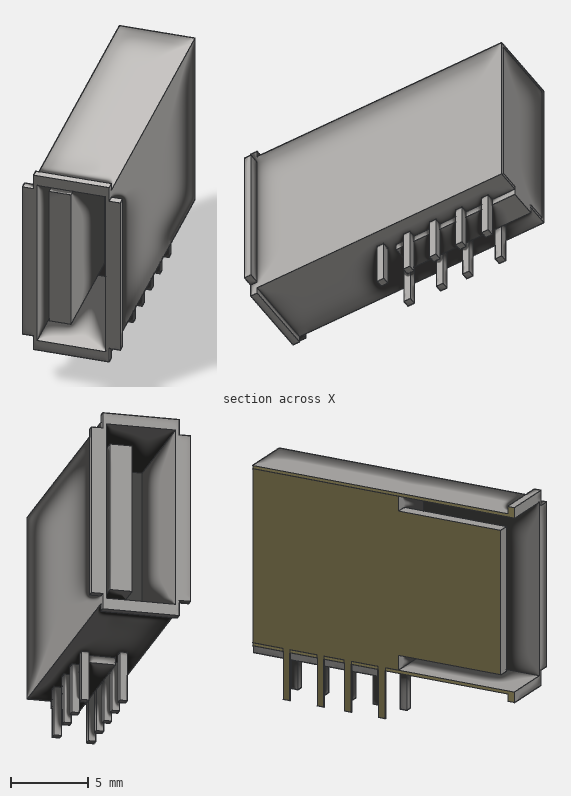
import cadquery as cq

length = 19.25
shell_width = 5.12
shell_height = 12.5
wall = 0.25

lip_thickness = 0.5
lip_height = 0.5
wing_reach = 0.75
wing_height = 11.4

tongue_thickness = 1.48
tongue_height = 10.01
tongue_gap = 0.5
tongue_setback = 1.0
block_margin = 0.5
foot_length = 9.1

pin_size = 0.5
pin_drop = 2.81
row_spacing = 2.43
near_row_rear = 2.48
near_outer_pitch = 2.5
near_middle_pitch = 2.0
far_pitch = 2.0
far_pin_count = 5

cavity_width = shell_width - 2 * wall
cavity_height = shell_height - 2 * wall
mouth_height = shell_height + 2 * lip_height
floor_top = -cavity_height / 2
foot_bottom = -mouth_height / 2
pin_bottom = foot_bottom - pin_drop

near_steps = [0, near_outer_pitch, near_outer_pitch + near_middle_pitch,
              2 * near_outer_pitch + near_middle_pitch]
near_pins_y = [length - near_row_rear - step for step in near_steps]
far_row_rear = near_row_rear - pin_size
far_pins_y = [length - far_row_rear - i * far_pitch for i in range(far_pin_count)]


def box(x_min, x_max, y_min, y_max, z_min, z_max):
    """Axis-aligned block between the given limits."""
    size = (x_max - x_min, y_max - y_min, z_max - z_min)
    return cq.Workplane("XY").box(*size, centered=False).translate((x_min, y_min, z_min))


def centered_box(width, y_min, y_max, height):
    """Block centred on X = 0 and Z = 0."""
    return box(-width / 2, width / 2, y_min, y_max, -height / 2, height / 2)


def make_pin(x, y):
    """Square pin from the cavity floor down, joined to the rear block."""
    half = pin_size / 2
    return box(x - half, x + half, y - half, y + half, pin_bottom, floor_top)


def make_insert():
    """Tongue, rear block, foot and both pin rows as one solid."""
    block_front = min(near_pins_y + far_pins_y) - pin_size / 2 - block_margin
    insert = centered_box(cavity_width, block_front, length, cavity_height)

    tongue_left = -cavity_width / 2 + tongue_gap
    tongue = box(tongue_left, tongue_left + tongue_thickness, tongue_setback, block_front,
                 -tongue_height / 2, tongue_height / 2)
    insert = insert.union(tongue)

    foot_width = row_spacing - pin_size
    foot = box(-foot_width / 2, foot_width / 2, length - foot_length, length,
               foot_bottom, floor_top)
    insert = insert.union(foot)

    for y in near_pins_y:
        insert = insert.union(make_pin(-row_spacing / 2, y))
    for y in far_pins_y:
        insert = insert.union(make_pin(row_spacing / 2, y))
    return insert


def make_shell(insert):
    """Rectangular tube with mouth lips, open at the back and cleared for the insert."""
    tube = centered_box(shell_width, 0, length, shell_height)
    top_bottom_lips = centered_box(shell_width, 0, lip_thickness, mouth_height)
    wings = centered_box(shell_width + 2 * wing_reach, 0, lip_thickness, wing_height)
    cavity = centered_box(cavity_width, 0, length, cavity_height)
    return tube.union(top_bottom_lips).union(wings).cut(cavity).cut(insert)


insert = make_insert()
shell = make_shell(insert)

result = cq.Compound.makeCompound([shell.val(), insert.val()])